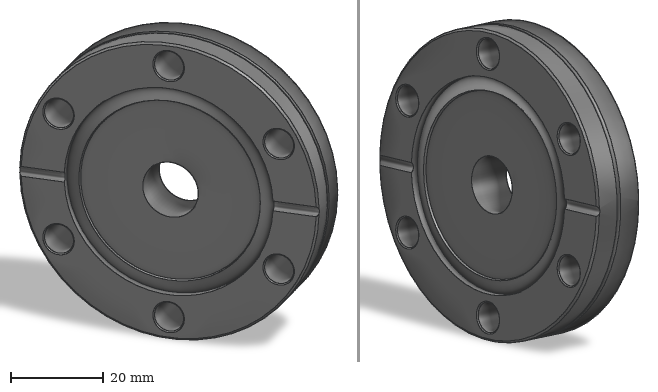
import cadquery as cq
import math

outer_diameter = 69.1
thickness = 12.7
rim_chamfer = 0.5
bore_diameter = 12.8

recess_diameter = 48.2
recess_depth = 1.8
knife_diameter = 41.9
knife_base_diameter = 41.45
knife_depth = 0.6
centre_depth = 1.2

bolt_count = 6
bolt_diameter = 6.7
bolt_circle_diameter = 58.7
bolt_chamfer = 0.3

leak_groove_width = 2.3
leak_groove_depth = 0.6

rim_groove_width = 1.05
rim_groove_depth = 0.3

half_thickness = thickness / 2
outer_radius = outer_diameter / 2
recess_radius = recess_diameter / 2


def arc_radius(width, depth):
    """Radius of a circular arc with the given chord width and depth."""
    return (width ** 2 / 4 + depth ** 2) / (2 * depth)


def flange_body():
    """Revolve the half section, radius along X, about the Y axis."""
    bore_radius = bore_diameter / 2
    centre = half_thickness - centre_depth
    knife = half_thickness - knife_depth
    recess = half_thickness - recess_depth
    shoulder = half_thickness - rim_chamfer
    groove_half = rim_groove_width / 2
    section = (
        cq.Workplane("XY")
        .moveTo(bore_radius, -centre)
        .lineTo(knife_base_diameter / 2, -centre)
        .lineTo(knife_diameter / 2, -knife)
        .lineTo(recess_radius, -recess)
        .lineTo(recess_radius, -half_thickness)
        .lineTo(outer_radius - rim_chamfer, -half_thickness)
        .lineTo(outer_radius, -shoulder)
        .lineTo(outer_radius, -groove_half)
        .threePointArc((outer_radius - rim_groove_depth, 0), (outer_radius, groove_half))
        .lineTo(outer_radius, shoulder)
        .lineTo(outer_radius - rim_chamfer, half_thickness)
        .lineTo(recess_radius, half_thickness)
        .lineTo(recess_radius, recess)
        .lineTo(knife_diameter / 2, knife)
        .lineTo(knife_base_diameter / 2, centre)
        .lineTo(bore_radius, centre)
        .close()
    )
    return section.revolve(360, (0, 0, 0), (0, 1, 0))


def bolt_hole():
    """Cutter along Y at the origin: a through hole chamfered at both faces."""
    radius = bolt_diameter / 2
    mouth_radius = radius + bolt_chamfer
    chamfer_start = half_thickness - bolt_chamfer
    return (
        cq.Workplane("XY")
        .moveTo(0, -half_thickness)
        .lineTo(mouth_radius, -half_thickness)
        .lineTo(radius, -chamfer_start)
        .lineTo(radius, chamfer_start)
        .lineTo(mouth_radius, half_thickness)
        .lineTo(0, half_thickness)
        .close()
        .revolve(360, (0, 0, 0), (0, 1, 0))
    )


def leak_groove(x_side, y_side):
    """Round cutter along X on one side and one face, from inside the recess out past the rim."""
    radius = arc_radius(leak_groove_width, leak_groove_depth)
    axis_y = y_side * (half_thickness - leak_groove_depth + radius)
    start_x = recess_radius - leak_groove_width / 2
    length = outer_radius + leak_groove_width - start_x
    direction = cq.Vector(x_side, 0, 0)
    return cq.Solid.makeCylinder(radius, length, cq.Vector(x_side * start_x, axis_y, 0), direction)


result = flange_body()

for index in range(bolt_count):
    angle = math.radians(90 + index * 360 / bolt_count)
    bolt_x = bolt_circle_diameter / 2 * math.cos(angle)
    bolt_z = bolt_circle_diameter / 2 * math.sin(angle)
    result = result.cut(bolt_hole().translate((bolt_x, 0, bolt_z)))

for x_side in (-1, 1):
    for y_side in (-1, 1):
        result = result.cut(leak_groove(x_side, y_side))